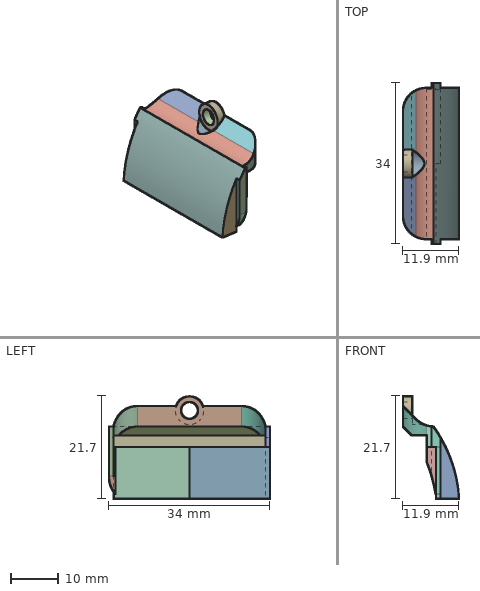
import cadquery as cq
import math

HALF_LENGTH = 17.02
HEIGHT = 21.65
DEPTH = 11.92
STEP = 1.02
BODY_HALF = HALF_LENGTH - STEP

LIP_TOP_Z = 19.6
SLOPE_END_X = 2.8
RIDGE_X = 6.45
VALLEY_RADIUS = (RIDGE_X - SLOPE_END_X) / math.sin(math.pi / 4)
SLOPE_END_Z = LIP_TOP_Z - SLOPE_END_X
RIDGE_Z = SLOPE_END_Z - VALLEY_RADIUS * (1 - math.cos(math.pi / 4))
BOW_MID = (10.65, 6.95)
LIP_FRONT_Z = 15.25
LIP_BOTTOM_Z = 13.4
LIP_CORNER_RADIUS = 5.0

SHOULDER_X = 5.05
SHOULDER_Z = 10.95
END_FLANGE_X = SHOULDER_X + STEP
SKIN_BACK_X = 8.0
TONGUE_X = SKIN_BACK_X - STEP

HOOK_INNER_Y = 15.6
HOOK_CURVE_TOP_Z = 7.73
HOOK_CURVE_MID = (END_FLANGE_X, 4.85)
HOOK_CURVE_END = (TONGUE_X, 0.5)
HOOK_CORNER_RADIUS = 5.0
HOOK_CORNER_Z = 4.53

EYE_RADIUS = 3.0
EYE_HOLE_DIAMETER = 3.5
EYE_THICKNESS = 2.05
EYE_Z = HEIGHT - EYE_RADIUS


def box(x_range, y_range, z_range):
    (x0, x1), (y0, y1), (z0, z1) = x_range, y_range, z_range
    return cq.Workplane("XY").box(x1 - x0, y1 - y0, z1 - z0, centered=False).translate((x0, y0, z0))


def extrude_y(outline, y0, y1):
    """Extrude an XZ outline from y0 to y1."""
    return outline.extrude(y0 - y1).translate((0, y0, 0))


def x_cylinder(radius, x0, x1):
    """Cylinder along X on the axis of the screw eye."""
    return cq.Workplane("YZ", origin=(x0, 0, 0)).center(0, EYE_Z).circle(radius).extrude(x1 - x0)


def make_envelope():
    """Full-length section, solid from the lip down to the base."""
    valley_mid = (
        RIDGE_X - VALLEY_RADIUS * math.sin(math.pi / 8),
        RIDGE_Z + VALLEY_RADIUS * (1 - math.cos(math.pi / 8)),
    )
    outline = (
        cq.Workplane("XZ")
        .moveTo(0, LIP_FRONT_Z)
        .lineTo(0, LIP_TOP_Z)
        .lineTo(SLOPE_END_X, SLOPE_END_Z)
        .threePointArc(valley_mid, (RIDGE_X, RIDGE_Z))
        .threePointArc(BOW_MID, (DEPTH, 0))
        .lineTo(SHOULDER_X, 0)
        .lineTo(SHOULDER_X, LIP_BOTTOM_Z)
        .lineTo(LIP_FRONT_Z - LIP_BOTTOM_Z, LIP_BOTTOM_Z)
        .close()
    )
    return extrude_y(outline, -HALF_LENGTH, HALF_LENGTH)


def make_body_zone():
    """Shoulder and lip with rounded plan corners, above the outer skin."""
    upper = box((0, DEPTH), (-BODY_HALF, BODY_HALF), (SHOULDER_Z, HEIGHT))
    upper = upper.edges("|Z and <X").fillet(LIP_CORNER_RADIUS)
    skin = box((SKIN_BACK_X, DEPTH), (-BODY_HALF, BODY_HALF), (0, HEIGHT))
    return upper.union(skin)


def make_flange_zone():
    """Projecting upper ends and the tongue along the -Y half."""
    ends = box((END_FLANGE_X, SKIN_BACK_X), (-HALF_LENGTH, HALF_LENGTH), (SHOULDER_Z, RIDGE_Z))
    tongue = box((TONGUE_X, SKIN_BACK_X), (-HALF_LENGTH, 0), (0, SHOULDER_Z))
    return ends.union(tongue)


def make_hook():
    """Stepped end wall with a curved inner edge and a rounded lower corner."""
    outline = (
        cq.Workplane("XZ")
        .moveTo(SHOULDER_X, SHOULDER_Z)
        .lineTo(SHOULDER_X, HOOK_CURVE_TOP_Z)
        .threePointArc(HOOK_CURVE_MID, HOOK_CURVE_END)
        .lineTo(TONGUE_X, 0)
        .lineTo(SKIN_BACK_X, 0)
        .lineTo(SKIN_BACK_X, SHOULDER_Z)
        .close()
    )
    wall = extrude_y(outline, HOOK_INNER_Y, HALF_LENGTH)
    wall = wall.cut(box((0, END_FLANGE_X), (BODY_HALF, HALF_LENGTH), (0, SHOULDER_Z)))
    centre_y = HALF_LENGTH - HOOK_CORNER_RADIUS
    round_corner = (
        cq.Workplane("YZ")
        .center(centre_y, HOOK_CORNER_Z)
        .circle(HOOK_CORNER_RADIUS)
        .extrude(DEPTH)
        .union(box((0, DEPTH), (centre_y, HALF_LENGTH), (HOOK_CORNER_Z, HEIGHT)))
    )
    return wall.intersect(round_corner)


def add_screw_eye(body):
    """Add the eye, clear the slope behind it and drill it through."""
    body = body.cut(x_cylinder(EYE_RADIUS, EYE_THICKNESS, DEPTH))
    body = body.union(x_cylinder(EYE_RADIUS, 0, EYE_THICKNESS))
    return body.cut(x_cylinder(EYE_HOLE_DIAMETER / 2, 0, DEPTH))


zones = make_body_zone().union(make_flange_zone()).union(make_hook())
result = add_screw_eye(make_envelope().intersect(zones))